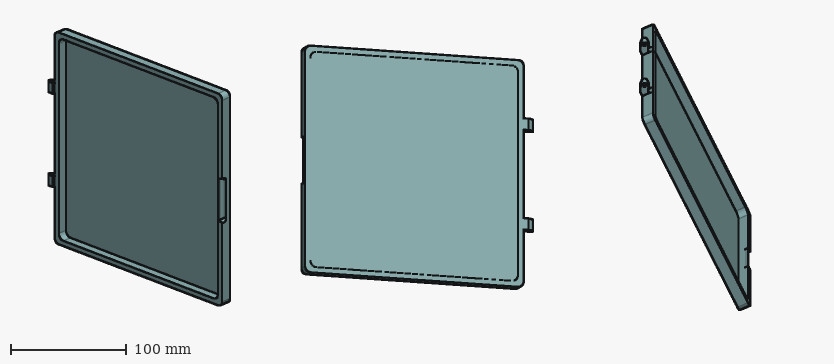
import cadquery as cq
import math

TOTAL_LENGTH = 210.5
SIDE = 200.0
THICKNESS = 10.0
WALL = 5.0
FLOOR = 1.0
OUTER_RADIUS = 5.0
INNER_RADIUS = 5.5

HOOK_WIDTH = 10.0
HOOK_OFFSET = 44.0
HOOK_REACH = TOTAL_LENGTH - SIDE
HOOK_CROWN_LENGTH = 4.2
HOOK_BACK_BULGE = 0.6
HOOK_EMBED = 1.0
NOSE_RADIUS = 2.5
PIN_RADIUS = 1.0
PIN_Y = -0.8
RELIEF_LENGTH = 3.8
RELIEF_HEIGHT = 1.9

RECESS_MOUTH = 41.7
RECESS_INNER = 39.2
RECESS_DEPTH = 5.0
RECESS_WEB = 0.6
RECESS_FILLET = 3.0

HALF_SIDE = SIDE / 2
BACK_Y = THICKNESS / 2
FRONT_Y = -BACK_Y


def rounded_block(side, depth, radius, front_y):
    """Square block with rounded corners, reaching from front_y toward +Y."""
    block = cq.Workplane("XY").box(side, depth, side)
    return block.edges("|Y").fillet(radius).translate((0, front_y + depth / 2, 0))


def make_tray():
    body = rounded_block(SIDE, THICKNESS, OUTER_RADIUS, FRONT_Y)
    pocket = rounded_block(SIDE - 2 * WALL, THICKNESS - FLOOR, INNER_RADIUS, FRONT_Y)
    return body.cut(pocket)


def make_hook(center_z):
    """Curved hook with a pin hole, attached to the -X wall."""
    wall_x = -HALF_SIDE
    root_x = wall_x + HOOK_EMBED
    crown_x = wall_x - HOOK_CROWN_LENGTH
    relief_x = wall_x - RELIEF_LENGTH
    pin_x = wall_x - HOOK_REACH + NOSE_RADIUS
    bottom_y = PIN_Y - NOSE_RADIUS
    diagonal = math.sqrt(0.5)
    shoulder_x = pin_x - NOSE_RADIUS * diagonal
    shoulder_y = PIN_Y + NOSE_RADIUS * diagonal
    bulge_x = (crown_x + shoulder_x) / 2 - HOOK_BACK_BULGE * diagonal
    bulge_y = (BACK_Y + shoulder_y) / 2 + HOOK_BACK_BULGE * diagonal

    plane = cq.Workplane("XY", origin=(0, 0, center_z - HOOK_WIDTH / 2))
    hook = (
        plane.moveTo(root_x, BACK_Y)
        .lineTo(crown_x, BACK_Y)
        .threePointArc((bulge_x, bulge_y), (shoulder_x, shoulder_y))
        .threePointArc((pin_x - NOSE_RADIUS, PIN_Y), (pin_x, bottom_y))
        .lineTo(relief_x, bottom_y)
        .threePointArc((wall_x - RELIEF_LENGTH / 2, bottom_y + RELIEF_HEIGHT), (wall_x, bottom_y))
        .lineTo(root_x, bottom_y)
        .close()
        .extrude(HOOK_WIDTH)
    )
    pin_hole = plane.center(pin_x, PIN_Y).circle(PIN_RADIUS).extrude(HOOK_WIDTH)
    return hook.cut(pin_hole)


def make_recess():
    """Finger recess cutter: flared ends, with the floor blended into its walls."""
    inner_x = HALF_SIDE - WALL + RECESS_WEB
    flare_slope = (RECESS_MOUTH - RECESS_INNER) / 2 / (HALF_SIDE - inner_x)
    outer_x = HALF_SIDE + WALL
    inner_z = RECESS_INNER / 2
    outer_z = inner_z + flare_slope * (outer_x - inner_x)
    cutter = (
        cq.Workplane("XZ", origin=(0, FRONT_Y, 0))
        .polyline([(inner_x, -inner_z), (outer_x, -outer_z), (outer_x, outer_z), (inner_x, inner_z)])
        .close()
        .extrude(-RECESS_DEPTH)
    )
    return cutter.faces(">Y").edges("not >X").fillet(RECESS_FILLET)


result = make_tray().cut(make_recess())
for hook_z in (HOOK_OFFSET, -HOOK_OFFSET):
    result = result.union(make_hook(hook_z))